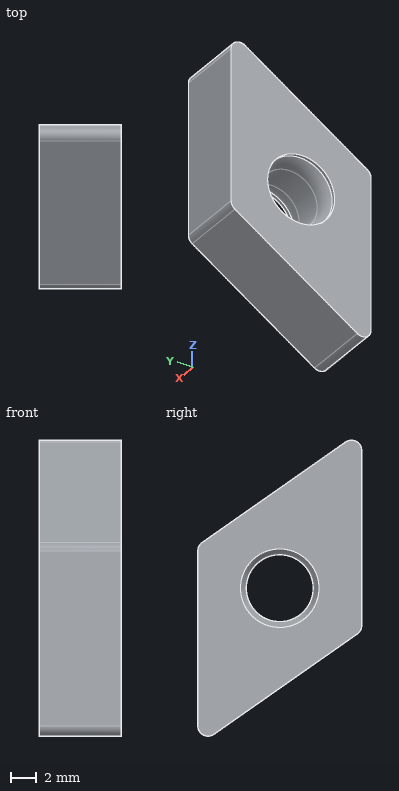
import cadquery as cq
import math

thickness = 6.35
width = 12.7
height = 22.92
acute_angle = math.radians(55)

hole_diameter = 5.15
mouth_diameter = 6.07
mouth_depth = 1.83
lip_depth = 0.37

side = width / math.sin(acute_angle)
rise = side * math.cos(acute_angle)
sharp_height = side + rise

slope = math.pi / 2 - acute_angle
tip_loss_per_radius = math.tan(slope) + 1 / math.cos(slope) - 1
corner_radius = (sharp_height - height) / 2 / tip_loss_per_radius


def make_plate():
    half_width = width / 2
    outer_z = sharp_height / 2
    inner_z = outer_z - rise
    outline = [
        (half_width, outer_z),
        (half_width, -inner_z),
        (-half_width, -outer_z),
        (-half_width, inner_z),
    ]
    plate = cq.Workplane("YZ").polyline(outline).close().extrude(thickness / 2, both=True)
    return plate.edges("|X").fillet(corner_radius)


def make_hole_cutter():
    """Through hole along X; each end has a short straight lip, then an arc that runs tangent into the bore."""
    half_length = thickness / 2
    bore_radius = hole_diameter / 2
    mouth_radius = mouth_diameter / 2
    bore_end = half_length - mouth_depth
    lip_end = half_length - lip_depth

    half_hole = (
        cq.Workplane("XY")
        .lineTo(0, bore_radius)
        .lineTo(-bore_end, bore_radius)
        .tangentArcPoint((-lip_end, mouth_radius), relative=False)
        .lineTo(-half_length, mouth_radius)
        .lineTo(-half_length, 0)
        .close()
        .revolve(360, (0, 0, 0), (1, 0, 0))
    )
    return half_hole.union(half_hole.mirror("YZ"))


result = make_plate().cut(make_hole_cutter())